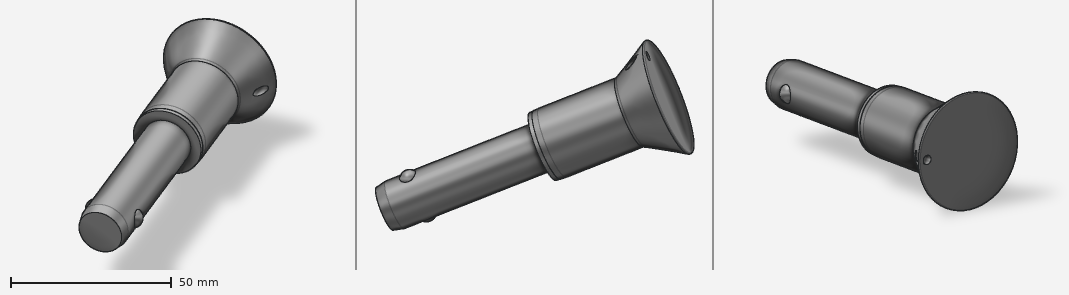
import cadquery as cq


overall_length = 97.1

shank_radius = 8.0
shank_length = 54.0
nose_length = 3.5
nose_end_radius = 7.2

ball_radius = 3.25
ball_reach = 9.5
ball_from_tip = 11.3

collar_radius = 11.4
collar_length = 1.4
band_end_radius = 11.5
band_length = 2.0
handle_radius = 11.6
head_radius = 19.0
rim_thickness = 0.6
rim_fillet = 0.3
flare_height = 13.5
throat_height = 0.9
throat_end_radius = 12.0

ring_hole_diameter = 3.0
ring_hole_offset = 16.0

tip_y = -shank_length
nose_start_y = tip_y + nose_length
band_start_y = collar_length
band_end_y = band_start_y + band_length
head_top_y = overall_length - shank_length
throat_start_y = head_top_y - flare_height
throat_end_y = throat_start_y + throat_height
rim_start_y = head_top_y - rim_thickness


def make_pin_body():
    """Revolve the half outline about Y and round the back edge of the head."""
    outline = (
        cq.Workplane("XY")
        .moveTo(0, tip_y)
        .lineTo(nose_end_radius, tip_y)
        .lineTo(shank_radius, nose_start_y)
        .lineTo(shank_radius, 0)
        .lineTo(collar_radius, 0)
        .lineTo(collar_radius, band_start_y)
        .lineTo(band_end_radius, band_start_y)
        .lineTo(handle_radius, band_end_y)
        .lineTo(handle_radius, throat_start_y)
        .lineTo(throat_end_radius, throat_end_y)
        .lineTo(head_radius, rim_start_y)
        .lineTo(head_radius, head_top_y)
        .lineTo(0, head_top_y)
        .close()
    )
    body = outline.revolve(360, (0, 0, 0), (0, 1, 0))
    return body.faces(">Y").edges().fillet(rim_fillet)


def make_ball(side):
    """Locking ball on the +X (side = 1) or -X (side = -1) side."""
    centre_x = side * (ball_reach - ball_radius)
    return cq.Workplane("XY").sphere(ball_radius).translate((centre_x, tip_y + ball_from_tip, 0))


def make_ring_hole():
    """Cutter for the keyring hole, parallel to the axis through the flare."""
    return (
        cq.Workplane("XZ", origin=(0, head_top_y, 0))
        .center(ring_hole_offset, 0)
        .circle(ring_hole_diameter / 2)
        .extrude(flare_height)
    )


result = make_pin_body()
for side in (-1, 1):
    result = result.union(make_ball(side))
result = result.cut(make_ring_hole())